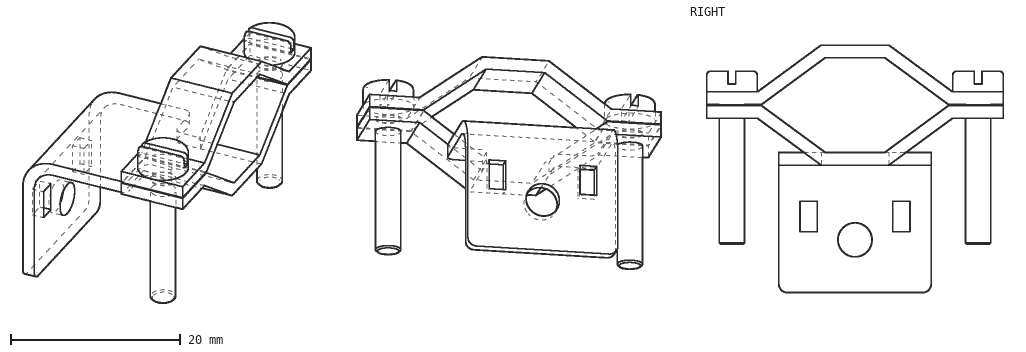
import cadquery as cq
import math


sheet = 1.5
corner_radius = 1.0

strap_length = 35.0
strap_width = 8.0
strap_end_x = 25.0
strap_gap = 0.1
lug_length = 6.0
crown_width = 8.0
crown_height = 7.07

head_diameter = 6.0
head_height = 2.45
head_edge_radius = 0.5
drive_slot_width = 0.88
drive_slot_depth = 1.5
shank_diameter = 3.0
shank_length = 18.0
shank_chamfer = 0.2

bracket_width = 18.0
bracket_reach = 13.5
bracket_bottom_z = -22.12
bend_outer_radius = 4.0
round_hole_diameter = 4.0
round_hole_z = -15.9
slot_width = 2.0
slot_height = 3.57
slot_spacing = 10.92
slot_z = -13.12

strap_start_x = strap_end_x - strap_width
strap_center_x = strap_end_x - strap_width / 2
lug_top_z = strap_gap / 2 + sheet
screw_y = (strap_length - lug_length) / 2
bracket_top_z = sheet - crown_height


def make_upper_strap():
    """Bent strip of constant thickness: lug, slope, crown, slope, lug."""
    half_length = strap_length / 2
    lug_corner_y = half_length - lug_length
    crown_corner_y = crown_width / 2
    slope_angle = math.atan2(crown_height - lug_top_z, lug_corner_y - crown_corner_y)
    miter_shift = sheet * math.tan(slope_angle / 2)
    outer = [
        (half_length, lug_top_z),
        (lug_corner_y, lug_top_z),
        (crown_corner_y, crown_height),
    ]
    inner = [
        (crown_corner_y - miter_shift, crown_height - sheet),
        (lug_corner_y - miter_shift, lug_top_z - sheet),
        (half_length, lug_top_z - sheet),
    ]
    mirrored_outer = [(-y, z) for y, z in reversed(outer)]
    mirrored_inner = [(-y, z) for y, z in reversed(inner)]
    profile = outer + mirrored_outer + mirrored_inner + inner
    return (
        cq.Workplane("YZ", origin=(strap_start_x, 0, 0))
        .polyline(profile)
        .close()
        .extrude(strap_width)
    )


def make_screw(y):
    """Slotted cheese-head screw seated on the upper lug."""
    seat = cq.Workplane("XY", origin=(strap_center_x, y, lug_top_z))
    head = seat.circle(head_diameter / 2).extrude(head_height)
    head = head.faces(">Z").edges().fillet(head_edge_radius)
    drive_slot = (
        seat.workplane(offset=head_height - drive_slot_depth)
        .rect(head_diameter, drive_slot_width)
        .extrude(drive_slot_depth)
    )
    shank = seat.circle(shank_diameter / 2).extrude(-shank_length)
    shank = shank.faces("<Z").edges().chamfer(shank_chamfer)
    return head.cut(drive_slot).union(shank)


def make_bracket():
    """L-shaped plate with a bent edge, rounded corners and a neck reaching the lower strap."""
    bend_inner_radius = bend_outer_radius - sheet
    plate = (
        cq.Workplane("XZ", origin=(0, bracket_width / 2, 0))
        .moveTo(0, bracket_bottom_z)
        .lineTo(0, bracket_top_z - bend_outer_radius)
        .radiusArc((bend_outer_radius, bracket_top_z), bend_outer_radius)
        .lineTo(strap_start_x, bracket_top_z)
        .lineTo(strap_start_x, bracket_top_z - sheet)
        .lineTo(bend_outer_radius, bracket_top_z - sheet)
        .radiusArc((sheet, bracket_top_z - bend_outer_radius), -bend_inner_radius)
        .lineTo(sheet, bracket_bottom_z)
        .close()
        .extrude(bracket_width)
    )
    notch_length = strap_start_x - bracket_reach
    notch_width = (bracket_width - crown_width) / 2
    notch_y = (crown_width + notch_width) / 2
    notches = (
        cq.Workplane("XY", origin=(bracket_reach + notch_length / 2, 0, -crown_height))
        .pushPoints([(0, notch_y), (0, -notch_y)])
        .rect(notch_length, notch_width)
        .extrude(sheet)
    )
    plate = plate.cut(notches)
    inside_neck_line = cq.selectors.BoxSelector(
        (bracket_reach - sheet, -bracket_width, -crown_height - sheet),
        (bracket_reach + sheet, bracket_width, bracket_top_z + sheet),
    )
    plate = plate.edges("|Z").edges(inside_neck_line).fillet(corner_radius)
    return plate.faces("<Z").edges("|X").fillet(corner_radius)


def make_leg_openings():
    """Round hole and two rectangular slots through the upright leg."""
    leg = cq.Workplane("YZ")
    round_hole = leg.center(0, round_hole_z).circle(round_hole_diameter / 2).extrude(sheet)
    slots = (
        leg.pushPoints([(side * slot_spacing / 2, slot_z) for side in (-1, 1)])
        .rect(slot_width, slot_height)
        .extrude(sheet)
    )
    return round_hole.union(slots)


upper_strap = make_upper_strap()
lower_strap = upper_strap.mirror("XY")
bracket = make_bracket().cut(make_leg_openings())

result = upper_strap.union(lower_strap).union(bracket)
for side in (-1, 1):
    result = result.union(make_screw(side * screw_y))